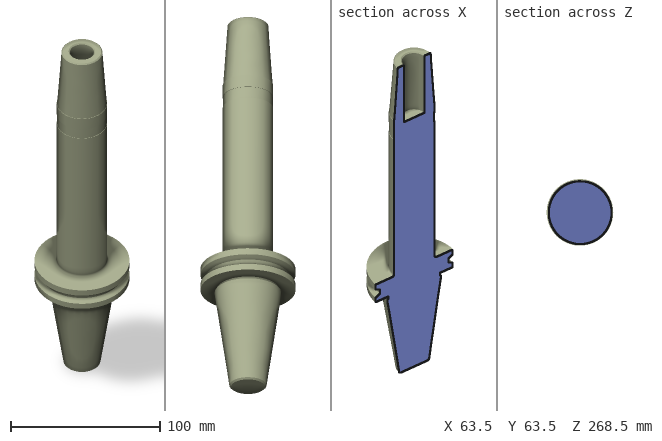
import cadquery as cq
import math

total_height = 268.5
gauge_height = 68.5
gauge_radius = 22.3
taper_rate = 7 / 24 / 2
tail_radius = gauge_radius - taper_rate * gauge_height
tail_chamfer = 1.0
gauge_land = 1.3
relief_radius = 21.2

flange_radius = 63.5 / 2
flange_bottom = 71.7
flange_top = 87.5
groove_center = 79.5
groove_floor_radius = 28.2
groove_floor_width = 3.0
groove_wall_angle = math.radians(30)
groove_wall_height = (flange_radius - groove_floor_radius) * math.tan(groove_wall_angle)
floor_bottom = groove_center - groove_floor_width / 2
floor_top = groove_center + groove_floor_width / 2

shank_radius = 17.0
shank_fillet = 1.3
band_radius = 16.6
band_bottom = 206.7
collar_bottom = 214.7
nose_bottom = 223.5
nose_base_radius = 16.6
nose_tip_radius = 13.7
nose_chamfer = 0.8

bore_radius = 8.0
bore_depth = 50.0
bore_chamfer = 0.8


def make_body():
    """Revolve the half profile, written as (radius, height), about Z."""
    profile = (
        cq.Workplane("XZ")
        .moveTo(0, 0)
        .lineTo(tail_radius - tail_chamfer, 0)
        .lineTo(tail_radius + taper_rate * tail_chamfer, tail_chamfer)
        .lineTo(gauge_radius, gauge_height)
        .lineTo(gauge_radius, gauge_height + gauge_land)
        .lineTo(relief_radius, gauge_height + gauge_land)
        .lineTo(relief_radius, flange_bottom)
        .lineTo(flange_radius, flange_bottom)
        .lineTo(flange_radius, floor_bottom - groove_wall_height)
        .lineTo(groove_floor_radius, floor_bottom)
        .lineTo(groove_floor_radius, floor_top)
        .lineTo(flange_radius, floor_top + groove_wall_height)
        .lineTo(flange_radius, flange_top)
        .lineTo(shank_radius + shank_fillet, flange_top)
        .radiusArc((shank_radius, flange_top + shank_fillet), shank_fillet)
        .lineTo(shank_radius, band_bottom)
        .lineTo(band_radius, band_bottom)
        .lineTo(band_radius, collar_bottom)
        .lineTo(shank_radius, collar_bottom)
        .lineTo(shank_radius, nose_bottom)
        .lineTo(nose_base_radius, nose_bottom)
        .lineTo(nose_tip_radius, total_height - nose_chamfer)
        .lineTo(nose_tip_radius - nose_chamfer, total_height)
        .lineTo(0, total_height)
        .close()
    )
    return profile.revolve(360, (0, 0, 0), (0, 1, 0))


def make_bore():
    """Blind bore from the nose, with a chamfered mouth."""
    profile = (
        cq.Workplane("XZ")
        .moveTo(0, total_height - bore_depth)
        .lineTo(bore_radius, total_height - bore_depth)
        .lineTo(bore_radius, total_height - bore_chamfer)
        .lineTo(bore_radius + bore_chamfer, total_height)
        .lineTo(0, total_height)
        .close()
    )
    return profile.revolve(360, (0, 0, 0), (0, 1, 0))


result = make_body().cut(make_bore())